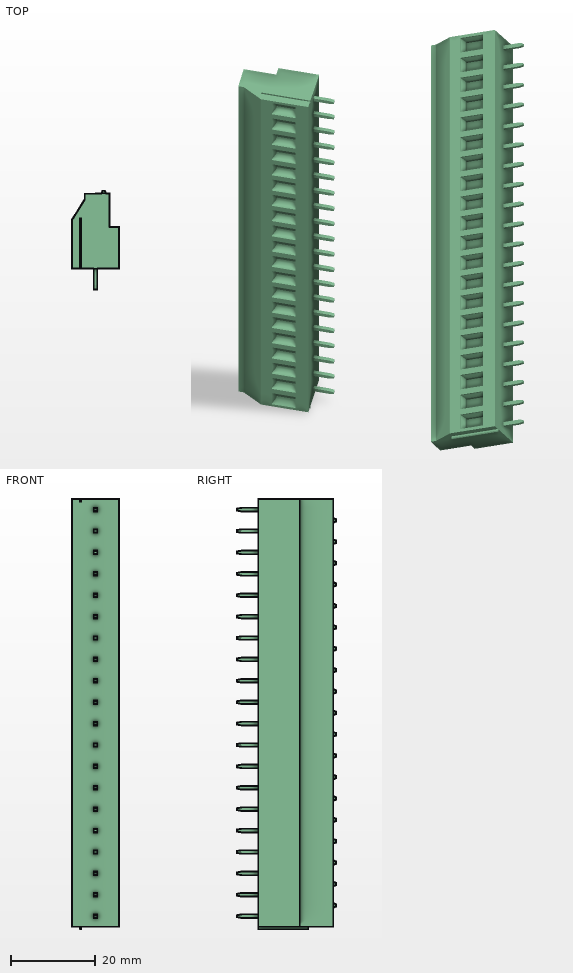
import cadquery as cq

total_height = 102.2
pole_count = 20
body_height = 101.6
pitch = body_height / pole_count
body_width = 11.2
body_depth = 17.9

neck_left = 3.1
neck_right = 9.0
neck_left_depth = 17.8
step_y = 9.9
slope_end_y = 16.5
shoulder_y = 11.9
shoulder_bevel = 0.2

entry_y_min = 3.1
entry_y_max = 8.9
entry_height = 3.7
lip_depth = 0.4
funnel_depth = 1.3
throat_depth = 0.8
funnel_side_inset = 0.6
funnel_edge_inset = 0.4

pin_x = body_width / 2
pin_size = 0.9
pin_length = 5.0
pin_tip_length = 1.1
pin_tip_thickness = 0.5

stud_x = 7.6
stud_base_radius = 0.6
stud_tip_radius = 0.3
stud_height = 0.6
stud_root = 0.2

tongue_x = 2.0
tongue_width = 0.4
tongue_height = total_height - body_height
tongue_length = 12.0
tongue_bevel = 0.2


def make_housing():
    outline = [
        (0, 0),
        (body_width, 0),
        (body_width, step_y),
        (neck_right, step_y),
        (neck_right, body_depth),
        (neck_left, neck_left_depth),
        (neck_left, slope_end_y),
        (shoulder_bevel, shoulder_y),
        (0, shoulder_y - shoulder_bevel),
    ]
    return cq.Workplane("XY").polyline(outline).close().extrude(body_height)


def make_tongue(base_z):
    """Rectangular rail that points down from base_z."""
    return (
        cq.Workplane("XY", origin=(tongue_x, tongue_length / 2, base_z))
        .rect(tongue_width, tongue_length)
        .extrude(-tongue_height)
    )


def entry_section(x, z, side_inset, edge_inset):
    """Rectangle of the wire entry at depth x, with its walls drawn inwards."""
    width = entry_y_max - entry_y_min - side_inset
    height = entry_height - 2 * edge_inset
    center = (x, entry_y_min + width / 2, z)
    return cq.Workplane("YZ", origin=center).rect(width, height)


def make_wire_entry(z):
    lip = entry_section(0, z, 0, 0).extrude(lip_depth)
    throat_start = lip_depth + funnel_depth
    funnel = cq.Workplane(
        cq.Solid.makeLoft(
            [
                entry_section(lip_depth, z, 0, 0).wires().val(),
                entry_section(throat_start, z, funnel_side_inset, funnel_edge_inset).wires().val(),
            ],
            True,
        )
    )
    throat = entry_section(throat_start, z, funnel_side_inset, funnel_edge_inset).extrude(throat_depth)
    return lip.union(funnel).union(throat)


def make_pin(z):
    """Square pin with a tip that narrows in Z only."""
    shank_end = pin_tip_length - pin_length
    profile = [
        (0, z - pin_size / 2),
        (shank_end, z - pin_size / 2),
        (-pin_length, z - pin_tip_thickness / 2),
        (-pin_length, z + pin_tip_thickness / 2),
        (shank_end, z + pin_size / 2),
        (0, z + pin_size / 2),
    ]
    pin = cq.Workplane("YZ").polyline(profile).close().extrude(pin_size)
    return pin.translate((pin_x - pin_size / 2, 0, 0))


def make_stud(z):
    root = cq.Vector(stud_x, body_depth - stud_root, z)
    along_y = cq.Vector(0, 1, 0)
    cone = cq.Solid.makeCone(stud_base_radius, stud_tip_radius, stud_height + stud_root, root, along_y)
    return cq.Workplane(cone)


groove = make_tongue(body_height)
tongue = make_tongue(0).faces("<Z").edges("<X").chamfer(tongue_bevel)
result = make_housing().cut(groove).union(tongue)

for pole in range(pole_count):
    pole_z = (pole + 0.5) * pitch
    result = result.cut(make_wire_entry(pole_z)).union(make_pin(pole_z))

for joint in range(1, pole_count):
    result = result.union(make_stud(joint * pitch))